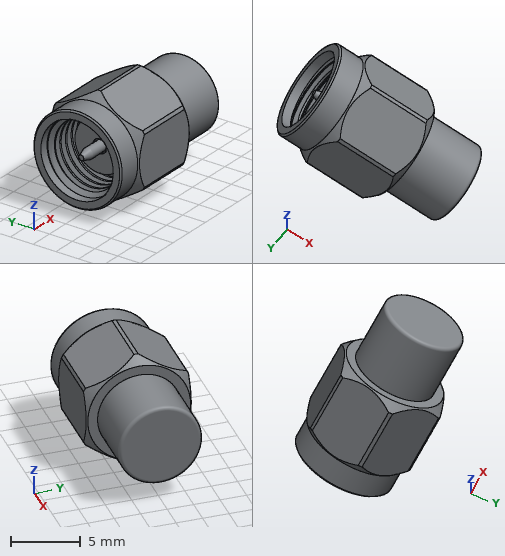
import cadquery as cq
import math

total_length = 13.21

nose_diameter = 7.77
nose_length = 2.03
nose_chamfer = 0.13
hex_across_flats = 7.94
hex_corner_diameter = 9.0
hex_length = 6.33
hex_bevel_length = 0.7
hex_end = nose_length + hex_length
barrel_diameter = 6.29
barrel_rounding = 0.26

thread_major_diameter = 6.35
thread_pitch = 0.7
flank_angle = math.radians(30)
thread_height = 5 / 8 * thread_pitch * math.cos(flank_angle)
thread_minor_diameter = thread_major_diameter - 2 * thread_height
thread_start_angle = 25.0
crest_width = thread_pitch / 4
root_width = thread_pitch / 8
entry_depth = 0.75
lead_in_length = thread_height
socket_depth = 4.23

insulator_diameter = 4.44
insulator_height = 1.45
insulator_rounding = 0.12
insulator_face = socket_depth - insulator_height
clearance_diameter = 1.19
clearance_depth = 0.13
pin_diameter = 0.94
pin_tip_diameter = 0.45
pin_tip_x = 0.52
pin_taper_length = 0.82


def cylinder(diameter, start, end):
    return cq.Workplane("YZ", origin=(start, 0, 0)).circle(diameter / 2).extrude(end - start)


def revolve_profile(points):
    """Revolve (X, radius) points about the connector axis."""
    return cq.Workplane("XY").polyline(points).close().revolve(360, (0, 0, 0), (1, 0, 0))


def make_hexagon():
    circumscribed_diameter = hex_across_flats / math.cos(math.radians(30))
    prism = (
        cq.Workplane("YZ", origin=(nose_length, 0, 0))
        .transformed(rotate=(0, 0, 90))
        .polygon(6, circumscribed_diameter)
        .extrude(hex_length)
    )
    end_radius = nose_diameter / 2
    corner_radius = hex_corner_diameter / 2
    envelope = revolve_profile([
        (nose_length, 0),
        (nose_length, end_radius),
        (nose_length + hex_bevel_length, corner_radius),
        (hex_end - hex_bevel_length, corner_radius),
        (hex_end, end_radius),
        (hex_end, 0),
    ])
    return prism.intersect(envelope)


def make_body():
    nose = cylinder(nose_diameter, 0, hex_end).faces("<X").chamfer(nose_chamfer)
    barrel = cylinder(barrel_diameter, socket_depth, total_length).faces(">X").fillet(barrel_rounding)
    return nose.union(make_hexagon()).union(barrel)


def make_thread_groove():
    """Right-handed helical groove, kept between the entry bore and the socket floor."""
    minor_radius = thread_minor_diameter / 2
    major_radius = thread_major_diameter / 2
    overlap = thread_height / 4
    flank_slope = math.tan(flank_angle)
    inner_radius = minor_radius - overlap
    inner_half_width = (thread_pitch - crest_width) / 2 + overlap * flank_slope
    root_half_width = root_width / 2
    helix = cq.Wire.makeHelix(thread_pitch, socket_depth + thread_pitch, minor_radius)
    groove = (
        cq.Workplane("XZ")
        .polyline([
            (inner_radius, -inner_half_width),
            (major_radius, -root_half_width),
            (major_radius, root_half_width),
            (inner_radius, inner_half_width),
        ])
        .close()
        .sweep(cq.Workplane(helix), isFrenet=True)
        .rotate((0, 0, 0), (0, 0, 1), thread_start_angle)
        .rotate((0, 0, 0), (0, 1, 0), 90)
    )
    return groove.intersect(cylinder(nose_diameter, entry_depth, socket_depth))


def cut_socket(body):
    minor_radius = thread_minor_diameter / 2
    major_radius = thread_major_diameter / 2
    bore = revolve_profile([
        (0, 0),
        (0, major_radius),
        (entry_depth, major_radius),
        (entry_depth + lead_in_length, minor_radius),
        (socket_depth, minor_radius),
        (socket_depth, 0),
    ])
    return body.cut(bore).cut(make_thread_groove())


def make_insulator():
    insulator = cylinder(insulator_diameter, insulator_face, socket_depth)
    insulator = insulator.faces("<X").fillet(insulator_rounding)
    return insulator.cut(cylinder(clearance_diameter, insulator_face, insulator_face + clearance_depth))


def make_pin():
    return revolve_profile([
        (pin_tip_x, 0),
        (pin_tip_x, pin_tip_diameter / 2),
        (pin_tip_x + pin_taper_length, pin_diameter / 2),
        (socket_depth, pin_diameter / 2),
        (socket_depth, 0),
    ])


result = cut_socket(make_body()).union(make_insulator()).union(make_pin())